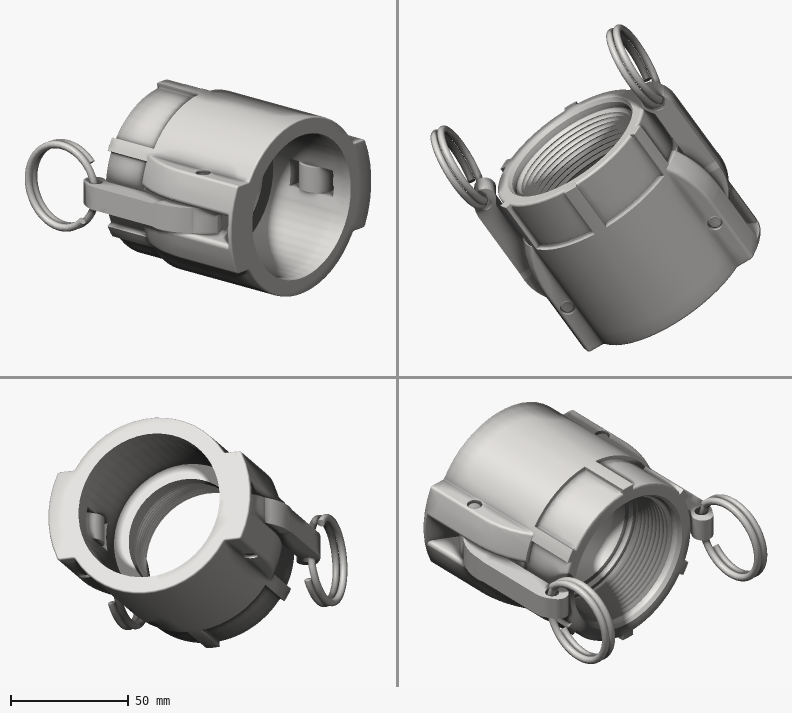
import cadquery as cq
import math


body_length = 78.74
body_radius = body_length / 2
rim_round = 0.8

collar_length = 23.7
recess_radius = 37.2
recess_count = 6
rib_width = 6.0
recess_floor_round = 1.0
recess_front_round = 1.2
rib_front_round = 0.4

thread_pitch = 2.209
thread_turns = 9
thread_start = 4.4
thread_root_radius = 30.1
thread_depth = 1.75
thread_taper = 1 / 32
entry_radius = 31.7
entry_chamfer_end = 1.6
entry_chamfer_radius = 30.5
web_start = 26.2
web_thickness = 2.6
web_diameter = 55.4
gasket_id = 50.8
gasket_od = 66.67
gasket_thickness = 6.35
groove_diameter = 67.69
socket_diameter = 64.14
groove_start = web_start + web_thickness
socket_start = groove_start + gasket_thickness

ear_radius = 46.0
ear_half_width = 19.8
ear_start = 22.6
ear_start_radius = 39.7
ear_curve_end = 46.9
ear_root_radius = 36.0
ear_edge_round = 1.6
ear_base_round = 1.2

slot_half_width = 6.16
slot_edge_round = 1.9
slot_end_outer = 77.2
slot_end_inner = 69.4
window_start = 44.8

pin_x = 55.7
pin_y = 37.4
pin_diameter = 6.33
pin_hole_diameter = 6.55
arm_pin_hole_diameter = 6.35
pin_end_diameter = 4.95
pin_recess = 1.0
pin_chamfer = (pin_diameter - pin_end_diameter) / 2

arm_outer_y = 99.44 / 2
arm_inner_y = 40.45
grip_thickness = 10.3
cam_thickness = 11.3
thickening_start = 37.3
thickening_end = 40.4
cam_radius = 8.1
cam_back_start = 40.6
cam_back_radius = 23.0
eye_x = -1.2
eye_y = 42.4
eye_radius = 4.65
eye_hole_x = 0.85
eye_hole_y = 43.8
eye_hole_diameter = 6.0

wire_diameter = 3.2
ring_radius = 18.1
ring_pitch = 3.4
ring_gap_half_angle = 43
ring_x = body_length - 115.29 + ring_radius + wire_diameter / 2
ring_y = 44.6


def polar(radius, degrees):
    angle = math.radians(degrees)
    return radius * math.cos(angle), radius * math.sin(angle)


def revolve_about_x(profile):
    return profile.close().revolve(360, (0, 0, 0), (1, 0, 0))


def slab(x_start, x_end, y_start, y_end, half_width):
    box = cq.Workplane("XY").box(x_end - x_start, y_end - y_start, 2 * half_width, centered=False)
    return box.translate((x_start, y_start, -half_width))


def make_barrel():
    barrel = cq.Workplane("YZ").circle(body_radius).extrude(body_length)
    return barrel.faces("<X").edges().fillet(rib_front_round)


def make_recess_cutters():
    """Recess between two ribs, centred on the +Y direction, and the rounding of its front edge."""
    outer = body_radius + 2
    half_angle = 180 / recess_count - math.degrees(math.asin(rib_width / 2 / body_radius))
    recess = (
        cq.Workplane("YZ", origin=(-collar_length, 0, 0))
        .moveTo(*polar(recess_radius, -half_angle))
        .threePointArc((recess_radius, 0), polar(recess_radius, half_angle))
        .lineTo(*polar(outer, half_angle))
        .threePointArc((outer, 0), polar(outer, -half_angle))
        .close()
        .extrude(2 * collar_length)
    )
    floor = recess.faces(cq.selectors.NearestToPointSelector((0, recess_radius, 0)))
    recess = floor.edges("not <X").fillet(recess_floor_round)
    bend = recess_front_round * (1 - math.sqrt(0.5))
    front_round = (
        cq.Workplane("XY")
        .moveTo(0, recess_radius - recess_front_round)
        .threePointArc((bend, recess_radius - bend), (recess_front_round, recess_radius))
        .lineTo(recess_front_round, outer)
        .lineTo(0, outer)
        .close()
        .revolve(2 * half_angle, (0, 0, 0), (1, 0, 0))
        .rotate((0, 0, 0), (1, 0, 0), -half_angle)
    )
    return recess, front_round


def cut_recesses(body):
    for cutter in make_recess_cutters():
        for index in range(recess_count):
            body = body.cut(cutter.rotate((0, 0, 0), (1, 0, 0), index * 360 / recess_count))
    return body


def make_ear_ring():
    """Solid of revolution from which both ears are taken."""
    rise = ear_radius - ear_start_radius
    run = ear_curve_end - ear_start
    curve_radius = (run ** 2 + rise ** 2) / (2 * rise)
    half_turn = math.asin(run / curve_radius) / 2
    curve_middle = (
        ear_curve_end - curve_radius * math.sin(half_turn),
        ear_radius - curve_radius * (1 - math.cos(half_turn)),
    )
    profile = (
        cq.Workplane("XY")
        .moveTo(ear_start, ear_root_radius)
        .lineTo(ear_start, ear_start_radius)
        .threePointArc(curve_middle, (ear_curve_end, ear_radius))
        .lineTo(body_length, ear_radius)
        .lineTo(body_length, ear_root_radius)
    )
    return revolve_about_x(profile)


def make_ear():
    """Ear on the +Y side, with its long outer edges rounded."""
    ear = make_ear_ring().intersect(slab(0, body_length, 0, ear_radius, ear_half_width))
    long_edges = ear.faces("<Z or >Z").edges(cq.selectors.BoxSelector(
        (ear_start, body_radius, -ear_radius), (body_length, ear_radius, ear_radius)))
    return long_edges.fillet(ear_edge_round)


def make_bore():
    """Tapered thread cut as ring grooves, web, gasket groove and socket."""
    profile = (
        cq.Workplane("XY")
        .moveTo(0, 0)
        .lineTo(0, entry_radius)
        .lineTo(entry_chamfer_end, entry_chamfer_radius)
    )
    for turn in range(thread_turns):
        x_root = thread_start + turn * thread_pitch
        root = thread_root_radius - thread_taper * (x_root - thread_start)
        profile = profile.lineTo(x_root, root).lineTo(x_root + thread_pitch / 2, root - thread_depth)
    thread_end = thread_start + thread_turns * thread_pitch
    profile = (
        profile.lineTo(thread_end, root)
        .lineTo(web_start, root)
        .lineTo(web_start, web_diameter / 2)
        .lineTo(groove_start, web_diameter / 2)
        .lineTo(groove_start, groove_diameter / 2)
        .lineTo(socket_start, groove_diameter / 2)
        .lineTo(socket_start, socket_diameter / 2)
        .lineTo(body_length, socket_diameter / 2)
        .lineTo(body_length, 0)
    )
    return revolve_about_x(profile)


def make_slot_cutter(slot_start):
    """Slot for the +Y arm, open outward and sloped at its far end."""
    outer = ear_radius + 2
    bore_y = socket_diameter / 2
    end_slope = (slot_end_outer - slot_end_inner) / (ear_radius - bore_y)
    return (
        cq.Workplane("XY")
        .moveTo(slot_start, 0)
        .lineTo(slot_end_inner - end_slope * bore_y, 0)
        .lineTo(slot_end_outer + end_slope * (outer - ear_radius), outer)
        .lineTo(slot_start, outer)
        .close()
        .extrude(slot_half_width, both=True)
    )


def make_slotted_ear():
    """Ear split into two cheeks by the arm slot, with the slot mouth rounded."""
    ear = make_ear().cut(make_slot_cutter(0))
    mouth_edges = ear.edges(cq.selectors.BoxSelector(
        (ear_start + 1, ear_start_radius, -slot_half_width - 0.1),
        (slot_end_inner, ear_radius + 1, slot_half_width + 0.1)))
    return mouth_edges.fillet(slot_edge_round)


def cut_pin_holes(body):
    return body.cut(
        cq.Workplane("XY", origin=(0, 0, -ear_radius))
        .pushPoints([(pin_x, pin_y), (pin_x, -pin_y)])
        .circle(pin_hole_diameter / 2)
        .extrude(2 * ear_radius)
    )


def make_housing():
    housing = cut_recesses(make_barrel())
    ear = make_slotted_ear()
    window = make_slot_cutter(window_start)
    for angle in (0, 180):
        housing = housing.union(ear.rotate((0, 0, 0), (1, 0, 0), angle))
    base_y = math.sqrt(body_radius ** 2 - ear_half_width ** 2)
    base_edges = housing.edges("|X").edges(cq.selectors.BoxSelector(
        (collar_length, -base_y - 0.2, -ear_half_width - 0.2),
        (body_length, base_y + 0.2, ear_half_width + 0.2)))
    housing = base_edges.fillet(ear_base_round)
    housing = housing.faces(">X").edges().fillet(rim_round)
    housing = housing.cut(make_bore())
    for angle in (0, 180):
        housing = housing.cut(window.rotate((0, 0, 0), (1, 0, 0), angle))
    return cut_pin_holes(housing)


def make_gasket():
    gasket = cq.Workplane("YZ", origin=(groove_start, 0, 0))
    return gasket.circle(gasket_od / 2).circle(gasket_id / 2).extrude(gasket_thickness)


def make_arm():
    """Cam arm on the +Y side: ring eye, straight grip and round cam around the pin."""
    outer_eye_x = -3.5
    outer_eye_y = eye_y + math.sqrt(eye_radius ** 2 - (outer_eye_x - eye_x) ** 2)
    shoulder = (-0.9, 48.2)
    shoulder_middle = (2.2, 49.35)
    grip_start = 5.7
    neck_angle = math.radians(32)
    inner_eye = (eye_x + eye_radius * math.sin(neck_angle), eye_y - eye_radius * math.cos(neck_angle))
    neck_end = 4.4

    back_run = pin_x - cam_back_start
    back_end_y = arm_outer_y - cam_back_radius + math.sqrt(cam_back_radius ** 2 - back_run ** 2)
    back_middle_angle = math.asin(back_run / cam_back_radius) / 2
    back_middle = (
        cam_back_start + cam_back_radius * math.sin(back_middle_angle),
        arm_outer_y - cam_back_radius * (1 - math.cos(back_middle_angle)),
    )
    nose_middle = (61.0, 41.2)
    cam_inner_x = pin_x - math.sqrt(cam_radius ** 2 - (arm_inner_y - pin_y) ** 2)

    outline = (
        cq.Workplane("XY")
        .moveTo(outer_eye_x, outer_eye_y)
        .lineTo(*shoulder)
        .threePointArc(shoulder_middle, (grip_start, arm_outer_y))
        .lineTo(cam_back_start, arm_outer_y)
        .threePointArc(back_middle, (pin_x, back_end_y))
        .threePointArc(nose_middle, (pin_x + cam_radius, pin_y))
        .threePointArc((pin_x, pin_y - cam_radius), (cam_inner_x, arm_inner_y))
        .lineTo(neck_end, arm_inner_y)
        .lineTo(*inner_eye)
        .threePointArc((eye_x - eye_radius, eye_y), (outer_eye_x, outer_eye_y))
        .close()
    )
    arm = outline.extrude(cam_thickness / 2, both=True)

    x_end = pin_x + 2 * cam_radius
    x_start = eye_x - 2 * eye_radius
    thickness_profile = (
        cq.Workplane("XZ")
        .moveTo(x_start, -grip_thickness / 2)
        .lineTo(thickening_start, -grip_thickness / 2)
        .lineTo(thickening_end, -cam_thickness / 2)
        .lineTo(x_end, -cam_thickness / 2)
        .lineTo(x_end, cam_thickness / 2)
        .lineTo(thickening_end, cam_thickness / 2)
        .lineTo(thickening_start, grip_thickness / 2)
        .lineTo(x_start, grip_thickness / 2)
        .close()
        .extrude(-2 * arm_outer_y)
    )
    arm = arm.intersect(thickness_profile)
    for x, y, diameter in ((eye_hole_x, eye_hole_y, eye_hole_diameter), (pin_x, pin_y, arm_pin_hole_diameter)):
        hole = cq.Workplane("XY", origin=(x, y, -cam_thickness)).circle(diameter / 2)
        arm = arm.cut(hole.extrude(2 * cam_thickness))
    return arm


def make_pin(side):
    half_length = ear_half_width - pin_recess
    pin = cq.Workplane("XY", origin=(pin_x, side * pin_y, 0)).circle(pin_diameter / 2)
    return pin.extrude(half_length, both=True).faces("<Z or >Z").edges().chamfer(pin_chamfer)


def make_ring(side):
    """Split ring: a helix about the Y axis whose ends stop short of the arm eye."""
    turns = 2 - 2 * ring_gap_half_angle / 360
    height = turns * ring_pitch
    path = cq.Workplane(cq.Wire.makeHelix(ring_pitch, height, ring_radius))
    ring = (
        cq.Workplane("XZ", origin=(ring_radius, 0, 0))
        .circle(wire_diameter / 2)
        .sweep(path, isFrenet=True)
        .translate((0, 0, -height / 2))
        .rotate((0, 0, 0), (0, 0, 1), ring_gap_half_angle)
        .rotate((0, 0, 0), (1, 0, 0), 90)
    )
    return ring.translate((ring_x, side * ring_y, 0))


housing = make_housing()
gasket = make_gasket()
arm = make_arm()
arms = [arm.rotate((0, 0, 0), (1, 0, 0), angle) for angle in (0, 180)]
pins = [make_pin(side) for side in (1, -1)]
rings = [make_ring(side) for side in (1, -1)]

result = cq.Compound.makeCompound([
    housing.val(),
    gasket.val(),
    *[body.val() for body in arms + pins + rings],
])